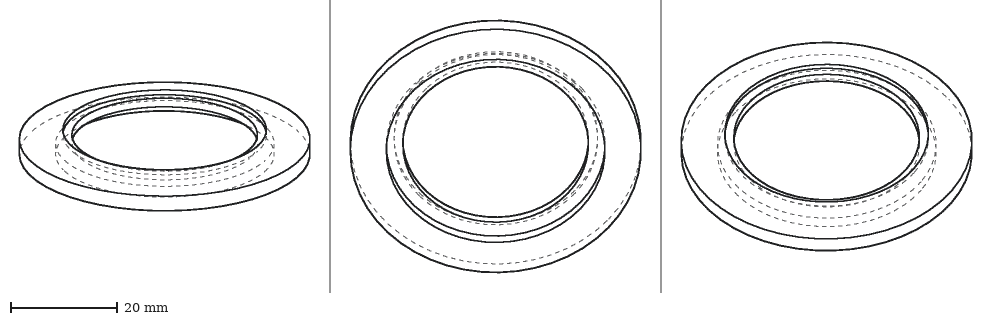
import cadquery as cq
import math

outer_diameter = 54.85
total_height = 4.95
top_land_diameter = 40.7
cone_angle = 15.0
bore_diameter = 35.0
recess_diameter = 38.4
recess_depth = 1.0
seat_diameter = 41.25
seat_depth = 2.2

outer_radius = outer_diameter / 2
land_radius = top_land_diameter / 2
bore_radius = bore_diameter / 2
recess_radius = recess_diameter / 2
seat_radius = seat_diameter / 2
cone_drop = (outer_radius - land_radius) * math.tan(math.radians(cone_angle))
rim_height = total_height - cone_drop
recess_floor = total_height - recess_depth

section = [
    (bore_radius, seat_depth),
    (seat_radius, seat_depth),
    (seat_radius, 0),
    (outer_radius, 0),
    (outer_radius, rim_height),
    (land_radius, total_height),
    (recess_radius, total_height),
    (recess_radius, recess_floor),
    (bore_radius, recess_floor),
]

result = cq.Workplane("XZ").polyline(section).close().revolve(360, (0, 0), (0, 1))